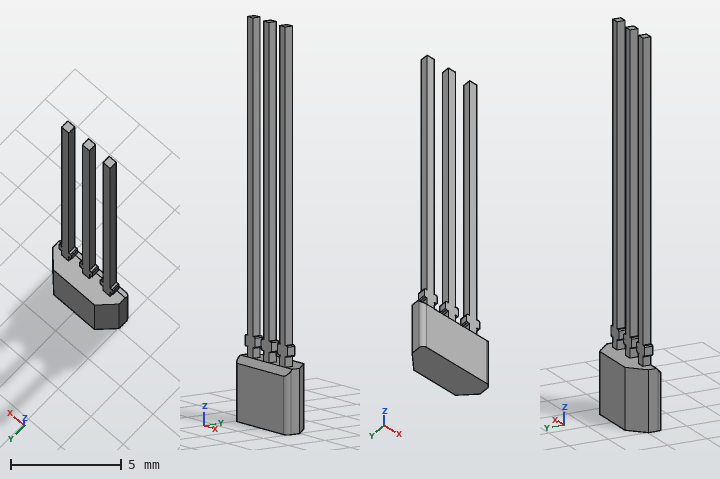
import cadquery as cq

body_width = 4.1
body_depth = 1.52
body_height = 3.02
total_height = 18.77

back_taper = 0.79
front_fillet = 0.25
top_chamfer = 0.32

lead_count = 3
lead_pitch = 1.28
lead_width = 0.43
lead_thickness = 0.41
lead_front = top_chamfer

dambar_width = 0.79
dambar_height = 0.53
dambar_gap = 0.49
dambar_chamfer = 0.05


def make_body():
    """Moulded package, with its front face on y = 0 and its base on z = 0."""
    half_width = body_width / 2
    shoulder_y = body_depth - back_taper
    back_half_width = half_width - back_taper
    outline = [
        (-half_width, 0),
        (half_width, 0),
        (half_width, shoulder_y),
        (back_half_width, body_depth),
        (-back_half_width, body_depth),
        (-half_width, shoulder_y),
    ]
    block = cq.Workplane("XY").polyline(outline).close().extrude(body_height)
    block = block.faces("<Y").edges("|Z").fillet(front_fillet)

    wedge = (
        cq.Workplane("YZ", origin=(-half_width, 0, 0))
        .moveTo(0, body_height)
        .lineTo(top_chamfer, body_height)
        .lineTo(0, body_height - top_chamfer)
        .close()
        .extrude(body_width)
    )
    return block.cut(wedge)


def make_lead(x):
    """Straight lead centred on x, with its chamfered dambar stub."""
    centre_y = lead_front + lead_thickness / 2
    centred_base = (True, True, False)
    pin = (
        cq.Workplane("XY", origin=(x, centre_y, body_height))
        .box(lead_width, lead_thickness, total_height - body_height, centered=centred_base)
    )
    dambar = (
        cq.Workplane("XY", origin=(x, centre_y, body_height + dambar_gap))
        .box(dambar_width, lead_thickness, dambar_height, centered=centred_base)
        .edges("|Y")
        .chamfer(dambar_chamfer)
    )
    return pin.union(dambar)


result = make_body()
for index in range(lead_count):
    lead_x = (index - (lead_count - 1) / 2) * lead_pitch
    result = result.union(make_lead(lead_x))